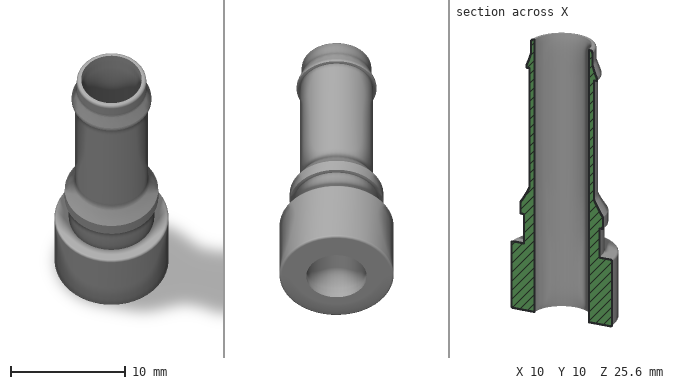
import cadquery as cq
import math

total_height = 25.6
bore_diameter = 5.3

base_diameter = 10.0
base_height = 6.3
base_edge_radius = 0.2

neck_diameter = 7.5
collar_diameter = 8.2
collar_bottom = 9.0
collar_top = 10.1

tube_diameter = 6.4
throat_top = 11.87
throat_radius = 1.0
throat_angle = math.radians(28)

barb_diameter = 7.0
barb_bottom = 22.8
barb_cone_bottom = 23.03
barb_half_angle = math.radians(20)
barb_blend_radius = 0.4
tip_diameter = 6.1
tip_edge_radius = 0.25


def disc(diameter, bottom, top):
    """Solid cylinder on the Z axis between two heights."""
    return cq.Workplane("XY").workplane(offset=bottom).circle(diameter / 2).extrude(top - bottom)


def make_base():
    base = disc(base_diameter, 0, base_height)
    return base.edges("%CIRCLE").fillet(base_edge_radius)


def make_neck_and_collar():
    neck = disc(neck_diameter, 0, collar_bottom)
    return neck.union(disc(collar_diameter, collar_bottom, collar_top))


def make_flare():
    """Two tangent concave arcs leading from the tube wall out to the collar rim."""
    tube_radius = tube_diameter / 2

    def throat_point(angle):
        return (
            tube_radius + throat_radius * (1 - math.cos(angle)),
            throat_top - throat_radius * math.sin(angle),
        )

    profile = (
        cq.Workplane("XZ")
        .moveTo(0, collar_top)
        .lineTo(0, throat_top)
        .lineTo(tube_radius, throat_top)
        .threePointArc(throat_point(throat_angle / 2), throat_point(throat_angle))
        .tangentArcPoint((collar_diameter / 2, collar_top), relative=False)
        .close()
    )
    return profile.revolve(360, (0, 0, 0), (0, 1, 0))


def make_barb_and_tip():
    """Conical barb blended into its short land below and the tip cylinder above."""
    barb_radius = barb_diameter / 2
    tip_radius = tip_diameter / 2
    cone_top = barb_cone_bottom + (barb_radius - tip_radius) / math.tan(barb_half_angle)
    profile = (
        cq.Workplane("XZ")
        .moveTo(0, barb_bottom)
        .lineTo(barb_radius, barb_bottom)
        .lineTo(barb_radius, barb_cone_bottom)
        .lineTo(tip_radius, cone_top)
        .lineTo(tip_radius, total_height)
        .lineTo(0, total_height)
        .close()
    )
    barb = profile.revolve(360, (0, 0, 0), (0, 1, 0))
    barb = barb.faces(">Z").edges().fillet(tip_edge_radius)
    margin = barb_blend_radius / 4
    for blend_height in (barb_cone_bottom, cone_top):
        blend_edge = cq.selectors.BoxSelector(
            (-barb_diameter, -barb_diameter, blend_height - margin),
            (barb_diameter, barb_diameter, blend_height + margin),
            boundingbox=True,
        )
        barb = barb.edges(blend_edge).fillet(barb_blend_radius)
    return barb


stem = make_base().union(make_neck_and_collar())
stem = stem.union(make_flare())
stem = stem.union(disc(tube_diameter, collar_top, barb_bottom))
stem = stem.union(make_barb_and_tip())
result = stem.cut(disc(bore_diameter, 0, total_height))